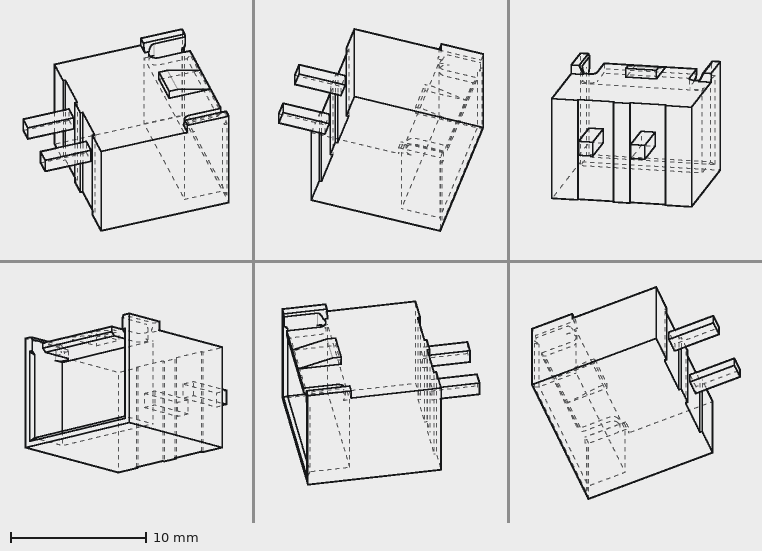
import cadquery as cq

width = 10.59
total_length = 13.4
total_height = 8.35
body_height = 7.68
front_y = 3.4
rear_y = total_length

groove_width = 2.71
groove_depth = 0.17
pin_pitch = 3.94
pin_size = 1.07
pin_center_z = 5.0

raised_length = 3.24
raised_front_y = rear_y - raised_length
rail_top_width = 0.6
rail_base_width = 0.91
latch_width = 2.32
latch_flat_length = 0.65

side_wall = 0.7
plate_wall = 0.67
cavity_depth = raised_length
mouth_chamfer = 0.27

slot_width = 1.1
slot_length = 3.03
slot_center_x = width / 2 - side_wall - slot_width / 2


def block(x_size, y_min, y_max, z_min, z_max, x_center=0):
    """Box centred on x_center, given by its Y and Z limits."""
    return (
        cq.Workplane("XY")
        .box(x_size, y_max - y_min, z_max - z_min, centered=(True, False, False))
        .translate((x_center, y_min, z_min))
    )


def make_rail():
    """Left rail with a sloped inner side; its foot goes down to the underside."""
    outer_x = -width / 2
    return (
        cq.Workplane("XZ", origin=(0, rear_y, 0))
        .moveTo(outer_x, 0)
        .lineTo(outer_x, total_height)
        .lineTo(outer_x + rail_top_width, total_height)
        .lineTo(outer_x + rail_base_width, body_height)
        .lineTo(outer_x + rail_base_width, 0)
        .close()
        .extrude(raised_length)
    )


def make_latch():
    """Wedge that rises from the rear edge to a short flat at its front."""
    return (
        cq.Workplane("YZ", origin=(-latch_width / 2, 0, 0))
        .moveTo(rear_y, body_height)
        .lineTo(raised_front_y + latch_flat_length, total_height)
        .lineTo(raised_front_y, total_height)
        .lineTo(raised_front_y, body_height)
        .close()
        .extrude(latch_width)
    )


def make_cavity():
    """Rectangular pocket that flares out to its mouth."""
    cavity_width = width - 2 * side_wall
    cavity_height = body_height - 2 * plate_wall
    pocket = block(
        cavity_width, rear_y - cavity_depth, rear_y, plate_wall, body_height - plate_wall
    )
    mouth = (
        cq.Workplane("XZ", origin=(0, rear_y, body_height / 2))
        .rect(cavity_width + 2 * mouth_chamfer, cavity_height + 2 * mouth_chamfer)
        .workplane(offset=mouth_chamfer)
        .rect(cavity_width, cavity_height)
        .loft(ruled=True)
    )
    return pocket.union(mouth)


def make_slot(x_center):
    """Slot open to the rear with a round front end."""
    radius = slot_width / 2
    end_y = rear_y - slot_length
    cut_bottom = body_height / 2
    straight = block(slot_width, end_y + radius, rear_y, cut_bottom, total_height, x_center)
    round_end = (
        cq.Workplane("XY", origin=(x_center, end_y + radius, cut_bottom))
        .circle(radius)
        .extrude(total_height - cut_bottom)
    )
    return straight.union(round_end)


rail = make_rail()
body = block(width, front_y, rear_y, 0, body_height)
body = body.union(rail).union(rail.mirror("YZ")).union(make_latch())
body = body.cut(make_cavity())

for side in (-1, 1):
    body = body.cut(make_slot(side * slot_center_x))

for side in (-1, 1):
    pin_x = side * pin_pitch / 2
    groove_floor_y = front_y + groove_depth
    body = body.cut(block(groove_width, front_y, groove_floor_y, 0, body_height, pin_x))
    body = body.union(
        block(
            pin_size,
            0,
            groove_floor_y,
            pin_center_z - pin_size / 2,
            pin_center_z + pin_size / 2,
            pin_x,
        )
    )

result = body